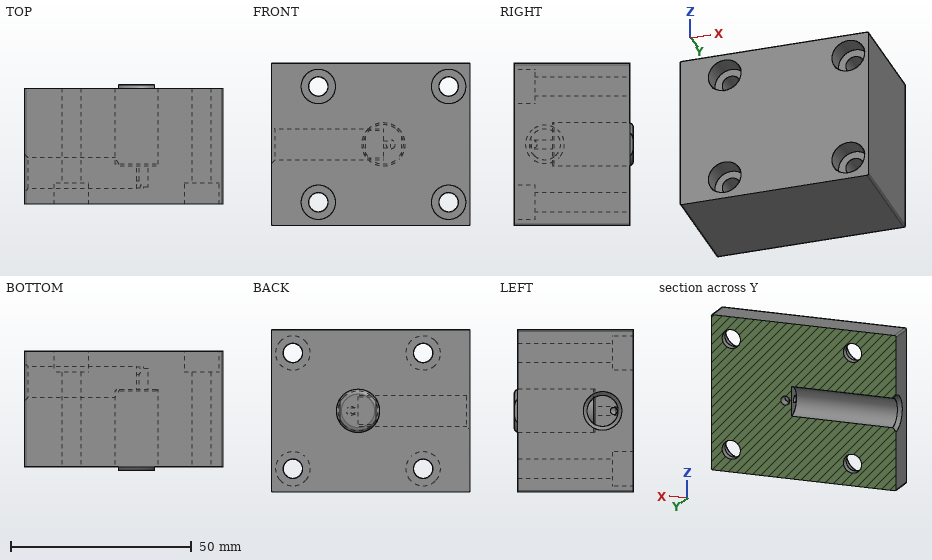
import cadquery as cq

LENGTH = 55.0
HEIGHT = 45.0
BLOCK_DEPTH = 32.0
EDGE_RADIUS = 0.5

CENTER_X = 3.5
HOLE_PITCH_X = 36.0
HOLE_PITCH_Z = 32.0
HOLE_DIAMETER = 5.3
COUNTERBORE_DIAMETER = 9.5
COUNTERBORE_DEPTH = 5.8

PORT_Y = 8.5
PORT_DIAMETER = 8.6
PORT_MOUTH_DIAMETER = 10.65
PORT_MOUTH_DEPTH = (PORT_MOUTH_DIAMETER - PORT_DIAMETER) / 2
PORT_FLOOR_X = CENTER_X
PORT_DEPTH = LENGTH / 2 + PORT_FLOOR_X

STUB_DIAMETER = 2.0
LEG_DIAMETER = 2.5
PASSAGE_Y = 5.4
PASSAGE_CORNER_Y = 4.8
STUB_LENGTH = 2.0
LEG_X = PORT_FLOOR_X + STUB_LENGTH

SCREW_DIAMETER = 12.0
SCREW_TIP_Y = 10.55
SCREW_TIP_CHAMFER = 0.5
HEAD_PROTRUSION = 1.0
HEAD_RADIUS = 1.4
HEAD_ACROSS_FLATS = 10.0


def y_cylinder(diameter, y_start, y_end, x=0.0, z=0.0):
    """Cylinder along +Y between two Y positions."""
    return cq.Workplane(
        cq.Solid.makeCylinder(diameter / 2, y_end - y_start, cq.Vector(x, y_start, z), cq.Vector(0, 1, 0))
    )


def slab(y_start, y_end):
    """Full-face block between two Y positions."""
    return cq.Workplane().box(LENGTH, y_end - y_start, HEIGHT).translate((0, (y_start + y_end) / 2, 0))


def cut_mounting_holes(body):
    for side_x in (-1, 1):
        for side_z in (-1, 1):
            x = CENTER_X + side_x * HOLE_PITCH_X / 2
            z = side_z * HOLE_PITCH_Z / 2
            body = body.cut(y_cylinder(HOLE_DIAMETER, 0, BLOCK_DEPTH, x, z))
            body = body.cut(y_cylinder(COUNTERBORE_DIAMETER, 0, COUNTERBORE_DEPTH, x, z))
    return body


def make_port():
    """Port bore with a conical mouth, as a cutting tool."""
    end = cq.Vector(-LENGTH / 2, PORT_Y, 0)
    inward = cq.Vector(1, 0, 0)
    bore = cq.Solid.makeCylinder(PORT_DIAMETER / 2, PORT_DEPTH, end, inward)
    mouth = cq.Solid.makeCone(PORT_MOUTH_DIAMETER / 2, PORT_DIAMETER / 2, PORT_MOUTH_DEPTH, end, inward)
    return cq.Workplane(bore).union(cq.Workplane(mouth))


def make_passage():
    """L-shaped passage: a stub along X out of the port floor, then a leg along Y to the screw tip."""
    start = cq.Vector(PORT_FLOOR_X, PASSAGE_Y, 0)
    stub = cq.Solid.makeCylinder(STUB_DIAMETER / 2, STUB_LENGTH, start, cq.Vector(1, 0, 0))
    leg = y_cylinder(LEG_DIAMETER, PASSAGE_CORNER_Y, SCREW_TIP_Y, LEG_X)
    return leg.union(cq.Workplane(stub))


def make_housing():
    body = slab(0, BLOCK_DEPTH).edges("|Y").fillet(EDGE_RADIUS)
    body = cut_mounting_holes(body)
    body = body.cut(make_port()).cut(make_passage())
    return body.cut(y_cylinder(SCREW_DIAMETER, SCREW_TIP_Y, BLOCK_DEPTH, CENTER_X))


def make_screw():
    head_end = BLOCK_DEPTH + HEAD_PROTRUSION
    screw = y_cylinder(SCREW_DIAMETER, SCREW_TIP_Y, head_end, CENTER_X)
    screw = screw.faces(">Y").edges().fillet(HEAD_RADIUS)
    screw = screw.faces("<Y").edges().chamfer(SCREW_TIP_CHAMFER)
    head_flats = cq.Workplane().box(HEAD_ACROSS_FLATS, HEAD_PROTRUSION, SCREW_DIAMETER)
    head_flats = head_flats.translate((CENTER_X, BLOCK_DEPTH + HEAD_PROTRUSION / 2, 0))
    shank = y_cylinder(SCREW_DIAMETER, SCREW_TIP_Y, BLOCK_DEPTH, CENTER_X)
    return screw.intersect(shank.union(head_flats))


housing = make_housing()
screw = make_screw()

result = cq.Compound.makeCompound([housing.val(), screw.val()])